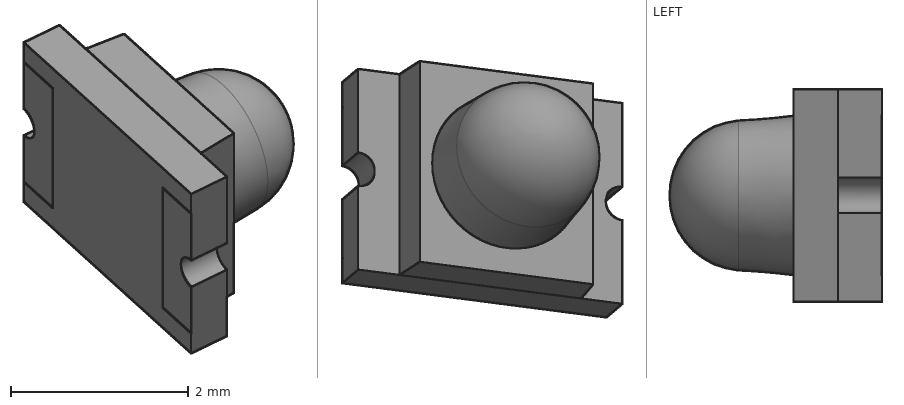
import cadquery as cq
import math


board_width = 3.2
part_height = 2.4
board_thickness = 0.5
notch_radius = 0.2

pad_width = 0.55
pad_height = 1.8
pad_thickness = 0.005

base_bottom_width = 2.2
base_top_width = 2.1
base_thickness = 0.5

lens_base_radius = 0.9
dome_radius = 0.85
lens_height = 1.4

base_start = board_thickness
lens_start = base_start + base_thickness
lens_tip = lens_start + lens_height


def block(width, depth, height, center_x=0):
    """Box centred in Z, with its -Y face on Y = 0."""
    return cq.Workplane("XY").box(width, depth, height).translate((center_x, depth / 2, 0))


def make_notches():
    """Round cutters along Y, centred on the two end faces of the board."""
    return (
        cq.Workplane("XZ")
        .pushPoints([(-board_width / 2, 0), (board_width / 2, 0)])
        .circle(notch_radius)
        .extrude(-board_thickness)
    )


def make_pad(side):
    """Thin pad at the end of the board given by side (-1 or +1)."""
    center_x = side * (board_width - pad_width) / 2
    return block(pad_width, pad_thickness, pad_height, center_x).cut(make_notches())


def make_board(pads):
    """Board with an end notch at each side and a recess for each pad."""
    board = block(board_width, board_thickness, part_height).cut(make_notches())
    for pad in pads:
        board = board.cut(pad)
    return board


def make_base():
    """Trapezoid across X, extruded over the full height in Z."""
    outline = [
        (-base_bottom_width / 2, base_start),
        (base_bottom_width / 2, base_start),
        (base_top_width / 2, lens_start),
        (-base_top_width / 2, lens_start),
    ]
    return cq.Workplane("XY").polyline(outline).close().extrude(part_height / 2, both=True)


def make_lens():
    """Half profile of skirt and dome, revolved about the Y axis."""
    dome_center = lens_tip - dome_radius
    center_rise = dome_center - lens_start

    center_to_rim = math.hypot(lens_base_radius, center_rise)
    tangent_angle = math.acos(dome_radius / center_to_rim) - math.atan2(center_rise, lens_base_radius)
    mid_angle = (tangent_angle + math.pi / 2) / 2

    def dome_point(angle):
        return (dome_radius * math.cos(angle), dome_center + dome_radius * math.sin(angle))

    return (
        cq.Workplane("XY")
        .moveTo(0, lens_start)
        .lineTo(lens_base_radius, lens_start)
        .lineTo(*dome_point(tangent_angle))
        .threePointArc(dome_point(mid_angle), (0, lens_tip))
        .close()
        .revolve(360, (0, 0, 0), (0, 1, 0))
    )


pads = [make_pad(side) for side in (-1, 1)]
board = make_board(pads)
base = make_base()
lens = make_lens()

result = cq.Compound.makeCompound(
    [board.val(), *[pad.val() for pad in pads], base.val(), lens.val()]
)